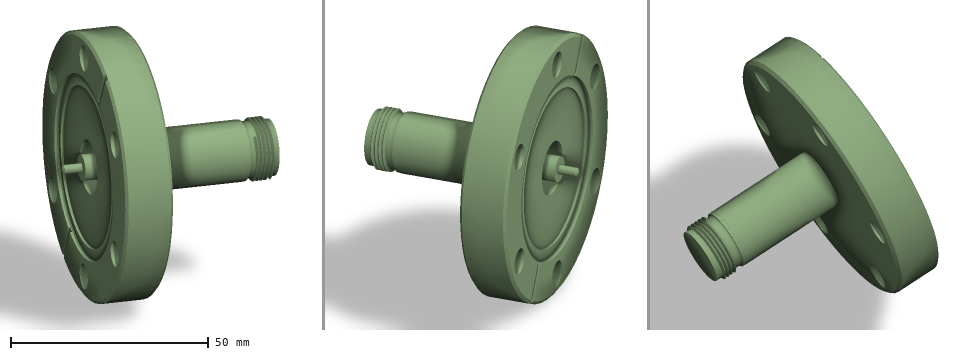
import cadquery as cq


flange_radius = 34.9
flange_thickness = 12.7
flange_chamfer_radial = 0.85
front_chamfer_depth = 0.6
rear_chamfer_depth = 0.85

recess_radius = 24.1
recess_depth = 1.2
plate_depth = 1.3
knife_radius = 20.95
knife_depth = 0.6

bolt_count = 6
bolt_circle_radius = 29.35
bolt_hole_radius = 3.35
slot_width = 1.6
slot_depth = 0.55
slot_angle = 60.0

tube_radius = 7.95
tube_bore_radius = 7.05
tube_end = 42.0
collar_length = 0.85
collar_radius = 7.9
neck_radius = 7.3
connector_end = 49.9

plug_insertion = 3.5
plug_front = tube_end - plug_insertion
plug_chamfer = 0.85
groove_outer_radius = 4.6
groove_bottom_radius = 3.9
groove_depth = groove_outer_radius - groove_bottom_radius

insulator_radius = 3.35
insulator_front = -0.6
pin_radius = 1.2
pin_front = -5.9
pin_dome_height = 0.5

thread_pitch = 1.05
thread_base = 1.0
thread_height = 0.85
thread_turns = 4.3
thread_overlap = 0.15
thread_start_y = 43.9
thread_start_angle = 43.5


def revolve_about_y(points):
    """Solid of revolution from (radius, y) points."""
    return cq.Workplane("XY").polyline(points).close().revolve(360, (0, 0, 0), (0, 1, 0))


def make_flange():
    return revolve_about_y([
        (0, plate_depth),
        (knife_radius, plate_depth),
        (knife_radius, knife_depth),
        (recess_radius, recess_depth),
        (recess_radius, 0),
        (flange_radius - flange_chamfer_radial, 0),
        (flange_radius, front_chamfer_depth),
        (flange_radius, flange_thickness - rear_chamfer_depth),
        (flange_radius - flange_chamfer_radial, flange_thickness),
        (0, flange_thickness),
    ])


def make_tube_and_neck():
    return revolve_about_y([
        (0, plate_depth),
        (tube_radius, plate_depth),
        (tube_radius, tube_end - collar_length),
        (collar_radius, tube_end - collar_length),
        (collar_radius, tube_end),
        (neck_radius, tube_end),
        (neck_radius, connector_end),
        (0, connector_end),
    ])


def make_bore():
    """Bore of the tube, ending at the chamfered connector body with a V-groove in its face."""
    return revolve_about_y([
        (0, 0),
        (tube_bore_radius, 0),
        (tube_bore_radius, plug_front + plug_chamfer),
        (tube_bore_radius - plug_chamfer, plug_front),
        (groove_outer_radius, plug_front),
        (groove_bottom_radius, plug_front + groove_depth),
        (insulator_radius, plug_front),
        (0, plug_front),
    ])


def make_insulator():
    return revolve_about_y([
        (0, insulator_front),
        (insulator_radius, insulator_front),
        (insulator_radius, plug_front),
        (0, plug_front),
    ])


def make_pin():
    """Centre pin with a spherical dome on its tip."""
    dome_radius = (pin_radius**2 + pin_dome_height**2) / (2 * pin_dome_height)
    half_chord = pin_radius / 2
    half_chord_rise = dome_radius - (dome_radius**2 - half_chord**2) ** 0.5
    return (
        cq.Workplane("XY")
        .moveTo(0, pin_front)
        .threePointArc((half_chord, pin_front + half_chord_rise), (pin_radius, pin_front + pin_dome_height))
        .lineTo(pin_radius, insulator_front)
        .lineTo(0, insulator_front)
        .close()
        .revolve(360, (0, 0, 0), (0, 1, 0))
    )


def make_bolt_holes():
    return (
        cq.Workplane("XZ")
        .polarArray(bolt_circle_radius, 360 / bolt_count / 2, 360, bolt_count)
        .circle(bolt_hole_radius)
        .extrude(-flange_thickness)
    )


def make_slots():
    """One straight slot across the flange, reaching out from the sealing recess on both sides."""
    return (
        cq.Workplane("XY")
        .box(2 * flange_radius, slot_depth, slot_width, centered=(True, False, True))
        .cut(cq.Workplane("XZ").circle(recess_radius).extrude(-slot_depth))
        .rotate((0, 0, 0), (0, 1, 0), -slot_angle)
    )


def make_thread():
    """Right-handed helical ridge, its root sunk slightly into the neck."""
    root_radius = neck_radius - thread_overlap
    length = thread_turns * thread_pitch
    helix = cq.Wire.makeHelix(thread_pitch, length, root_radius)
    ridge = (
        cq.Workplane("XZ")
        .moveTo(root_radius, -thread_base / 2)
        .lineTo(neck_radius + thread_height, 0)
        .lineTo(root_radius, thread_base / 2)
        .close()
        .sweep(cq.Workplane(obj=helix), isFrenet=True)
    )
    return (
        ridge
        .rotate((0, 0, 0), (1, 0, 0), -90)
        .rotate((0, 0, 0), (0, 1, 0), -thread_start_angle)
        .translate((0, thread_start_y, 0))
    )


result = (
    make_flange()
    .union(make_tube_and_neck())
    .cut(make_bore())
    .union(make_insulator())
    .union(make_pin())
    .cut(make_bolt_holes())
    .cut(make_slots())
    .union(make_thread())
)